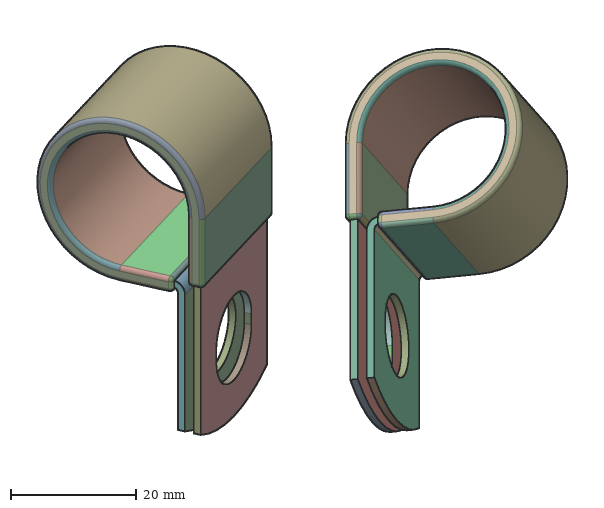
import cadquery as cq
import math

height = 57.55
outer_diameter = 29.4
outer_radius = outer_diameter / 2
sleeve_width = 27.0
cushion = 0.75
strap_thickness = 1.25
strap_width = sleeve_width - 2 * cushion
edge_fillet = cushion

vertical_leg = 12.8
horizontal_leg = 9.3
tab_gap = 1.5
bend_inner_radius = 0.85

hole_diameter = 13.45
slot_length = 15.4
hole_height = 14.35
tip_sag = 3.0

inner_radius = outer_radius - 2 * cushion - strap_thickness
strap_outer = outer_radius - cushion
strap_inner = strap_outer - strap_thickness
bottom = outer_radius - height
bend_outer_radius = bend_inner_radius + strap_thickness
inner_tab_right = strap_inner - tab_gap
inner_tab_left = inner_tab_right - strap_thickness
bend_x = inner_tab_right - bend_outer_radius
bend_z = -strap_outer - bend_inner_radius


def extrude_centred(profile, width):
    """Close a profile and extrude it equally to both sides of its plane."""
    return profile.close().extrude(width / 2, both=True)


def make_sleeve():
    profile = (
        cq.Workplane("XZ")
        .moveTo(outer_radius, -vertical_leg)
        .lineTo(outer_radius, 0)
        .threePointArc(loop_midpoint(outer_radius), (0, -outer_radius))
        .lineTo(horizontal_leg, -outer_radius)
        .lineTo(horizontal_leg, -inner_radius)
        .lineTo(0, -inner_radius)
        .threePointArc(loop_midpoint(inner_radius), (inner_radius, 0))
        .lineTo(inner_radius, -vertical_leg)
    )
    sleeve = extrude_centred(profile, sleeve_width)
    side_edges = sleeve.faces("|Y").edges()
    end_box = cq.selectors.BoxSelector(
        (horizontal_leg - cushion, -sleeve_width, -outer_radius - cushion),
        (outer_radius + cushion, sleeve_width, -inner_radius + cushion),
    )
    end_edges = sleeve.edges("|Y").edges(end_box)
    return side_edges.add(end_edges).fillet(edge_fillet)


def loop_midpoint(radius):
    """Middle of the three-quarter loop, up and to the left of its centre."""
    offset = radius / math.sqrt(2)
    return (-offset, offset)


def bend_midpoint(radius):
    offset = radius / math.sqrt(2)
    return (bend_x + offset, bend_z + offset)


def make_strap():
    profile = (
        cq.Workplane("XZ")
        .moveTo(strap_outer, bottom)
        .lineTo(strap_outer, 0)
        .threePointArc(loop_midpoint(strap_outer), (0, -strap_outer))
        .lineTo(bend_x, -strap_outer)
        .threePointArc(bend_midpoint(bend_inner_radius), (inner_tab_left, bend_z))
        .lineTo(inner_tab_left, bottom)
        .lineTo(inner_tab_right, bottom)
        .lineTo(inner_tab_right, bend_z)
        .threePointArc(bend_midpoint(bend_outer_radius), (bend_x, -strap_inner))
        .lineTo(0, -strap_inner)
        .threePointArc(loop_midpoint(strap_inner), (strap_inner, 0))
        .lineTo(strap_inner, bottom)
    )
    return extrude_centred(profile, strap_width)


def make_tab_outline():
    """Block that trims the tab tips to an arc."""
    half_width = strap_width / 2
    outline = (
        cq.Workplane("YZ")
        .moveTo(-half_width, outer_radius)
        .lineTo(-half_width, bottom + tip_sag)
        .threePointArc((0, bottom), (half_width, bottom + tip_sag))
        .lineTo(half_width, outer_radius)
    )
    return extrude_centred(outline, outer_diameter)


def make_round_hole():
    """Cutter for the round hole through the inner tab."""
    return (
        cq.Workplane("YZ", origin=(inner_tab_left, 0, bottom + hole_height))
        .circle(hole_diameter / 2)
        .extrude(strap_thickness)
    )


def make_slot():
    """Cutter for the upright slot through the outer tab."""
    return (
        cq.Workplane("YZ", origin=(strap_inner, 0, bottom + hole_height))
        .slot2D(slot_length, hole_diameter, 90)
        .extrude(strap_thickness)
    )


strap = (
    make_strap()
    .intersect(make_tab_outline())
    .cut(make_round_hole())
    .cut(make_slot())
)
result = make_sleeve().union(strap)